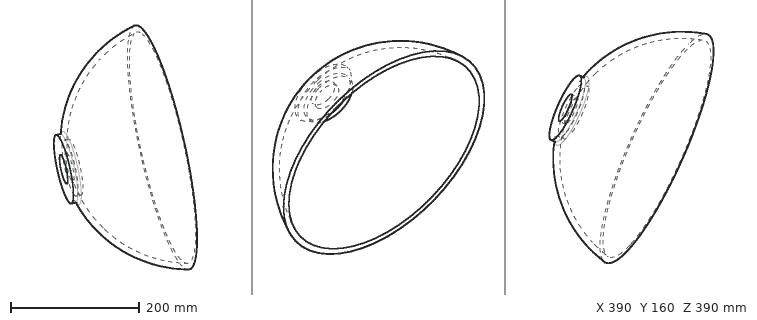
import cadquery as cq
import math

rim_radius = 195.0
total_depth = 160.0

mid_wall_radius = 146.5
mid_wall_depth = 92.0
wall_end_radius = 58.5
wall_end_depth = 148.5

foot_radius = 55.0
foot_top_depth = 153.3
foot_fillet_radius = 5.0

wall_thickness = 10.0
drain_radius = 23.0

rim_y = total_depth / 2
foot_y = -total_depth / 2


def at_depth(radius, depth):
    """Profile point at a radius and a depth below the rim."""
    return (radius, rim_y - depth)


def arc_circle(p, q, r):
    """Centre and radius of the circle through three points."""
    qx, qy = q[0] - p[0], q[1] - p[1]
    rx, ry = r[0] - p[0], r[1] - p[1]
    q_square = qx**2 + qy**2
    r_square = rx**2 + ry**2
    twice_cross = 2 * (qx * ry - qy * rx)
    dx = (ry * q_square - qy * r_square) / twice_cross
    dy = (qx * r_square - rx * q_square) / twice_cross
    return (p[0] + dx, p[1] + dy), math.hypot(dx, dy)


rim_point = at_depth(rim_radius, 0)
mid_wall_point = at_depth(mid_wall_radius, mid_wall_depth)
wall_end_point = at_depth(wall_end_radius, wall_end_depth)


def make_outer_body():
    """Solid bowl with its foot."""
    return (
        cq.Workplane("XY")
        .moveTo(0, rim_y)
        .lineTo(*rim_point)
        .threePointArc(mid_wall_point, wall_end_point)
        .radiusArc(at_depth(foot_radius, foot_top_depth), -foot_fillet_radius)
        .lineTo(foot_radius, foot_y)
        .lineTo(0, foot_y)
        .close()
        .revolve(360, (0, 0, 0), (0, 1, 0))
    )


def make_cavity():
    """Inside of the bowl: the outer arc offset inward, with a flat-floored well in the foot."""
    (center_x, center_y), outer_arc_radius = arc_circle(rim_point, mid_wall_point, wall_end_point)
    inner_arc_radius = outer_arc_radius - wall_thickness
    floor_y = foot_y + wall_thickness

    def radius_at(y):
        return center_x + math.sqrt(inner_arc_radius**2 - (y - center_y) ** 2)

    well_radius = foot_radius - wall_thickness
    well_top_y = center_y - math.sqrt(inner_arc_radius**2 - (well_radius - center_x) ** 2)
    mid_y = (rim_y + well_top_y) / 2
    return (
        cq.Workplane("XY")
        .moveTo(0, rim_y)
        .lineTo(radius_at(rim_y), rim_y)
        .threePointArc((radius_at(mid_y), mid_y), (well_radius, well_top_y))
        .lineTo(well_radius, floor_y)
        .lineTo(0, floor_y)
        .close()
        .revolve(360, (0, 0, 0), (0, 1, 0))
    )


def make_drain():
    """Through hole along the axis, in the floor."""
    return cq.Workplane("XZ", origin=(0, rim_y, 0)).circle(drain_radius).extrude(total_depth)


result = make_outer_body().cut(make_cavity()).cut(make_drain())